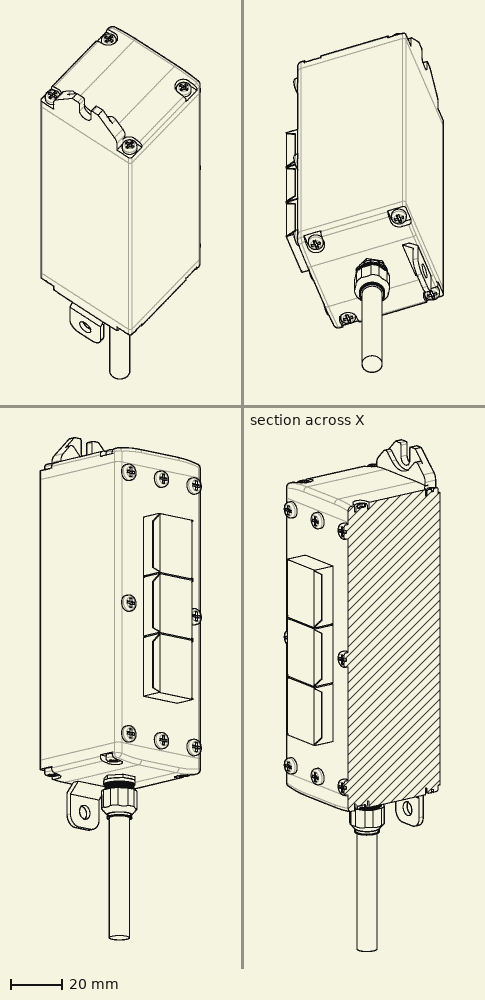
import cadquery as cq
import math

WIDTH = 45.0
DEPTH = 45.0
TUBE_LENGTH = 112.0
CAP_HEIGHT = 7.0
FRONT_CORNER_RADIUS = 1.0
BACK_CORNER_RADIUS = 2.0
SEAM_Z = TUBE_LENGTH / 2
CAP_END_Z = SEAM_Z + CAP_HEIGHT

CROWN_FLAT_WIDTH = 20.0
CROWN_RADIUS = 54.0
CAP_EDGE_RADIUS = 1.7

RECESS_RADIUS = 3.4
RECESS_SEAT_HEIGHT = 3.6
SEAT_Z = SEAM_Z + RECESS_SEAT_HEIGHT
FRONT_SCREW_X = 19.1
FRONT_SCREW_Y = 3.75
BACK_SCREW_X = 18.6
BACK_SCREW_Y = 38.3
CAP_HEAD_RADIUS = 2.9
CAP_HEAD_HEIGHT = 2.4
HEAD_EDGE_RADIUS = 1.0
CROSS_LENGTH = 3.6
CROSS_WIDTH = 0.9
CROSS_DEPTH = 1.2

BACK_FACE_SCREW_X = 17.4
BACK_FACE_SCREW_Z = 52.2
BACK_FACE_HEAD_RADIUS = 3.2
BACK_FACE_HEAD_HEIGHT = 2.0

LUG_RISE = 12.0
LUG_THICKNESS = 5.2
LUG_HALF_WIDTH = FRONT_SCREW_X - RECESS_RADIUS
LUG_TOP_HALF_WIDTH = 6.4
LUG_SHOULDER_DROP = LUG_HALF_WIDTH - LUG_TOP_HALF_WIDTH
LUG_SHOULDER_RADIUS = 4.0
LUG_SLOT_WIDTH = 5.6
LUG_SLOT_DEPTH = 8.2
LUG_SLOT_LIP_RADIUS = 0.8
LUG_TOP_Z = CAP_END_Z + LUG_RISE

POCKET_FLOOR_Y = 3.0
POCKET_CENTRE_DROP = 1.8
POCKET_RADIUS = 8.2
POCKET_LIP_RADIUS = 1.7

BRACKET_WIDTH = 15.3
BRACKET_THICKNESS = 2.0
BRACKET_DROP = 16.8
BRACKET_BEND_DROP = 3.6
BRACKET_BEND_ANGLE = 45.0
BRACKET_CORNER_RADIUS = 4.5
BRACKET_HOLE_DIAMETER = 5.5
BRACKET_HOLE_HEIGHT = 6.3

OVERALL_HEIGHT = 201.9
CABLE_Y = 21.7
CABLE_DIAMETER = 7.9
HEX_SIDES = 6
HEX_HALF_ANGLE = 180 / HEX_SIDES
GLAND_HEX_ACROSS_FLATS = 11.0
GLAND_HEX_HEIGHT = 1.3
GLAND_COLLAR_RADIUS = 6.1
GLAND_COLLAR_HEIGHT = 1.4
GLAND_NECK_RADIUS = 5.6
GLAND_NECK_HEIGHT = 2.7
NECK_GROOVE_COUNT = 3
NECK_GROOVE_WIDTH = 0.4
NECK_GROOVE_DEPTH = 0.4
NUT_ACROSS_FLATS = 13.2
NUT_RADIUS = 6.9
NUT_HEIGHT = 9.3
NUT_STRAIGHT_HEIGHT = 7.0
NUT_END_RADIUS = 4.9
SEAL_RADIUS = 4.5
SEAL_HEIGHT = 1.1
SEAL_LIP_RADIUS = 4.9
SEAL_LIP_HEIGHT = 0.3

BLOCK_COUNT = 3
BLOCK_PITCH = 24.0
BLOCK_GAP = 0.5
BLOCK_WIDTH = 18.0
BLOCK_HEIGHT = 9.0
BLOCK_LENGTH = BLOCK_PITCH - BLOCK_GAP
SIDE_RECESS_DEPTH = 0.4
SIDE_RECESS_HEIGHT = 3.7
SIDE_RECESS_END_WALL = 0.3
SIDE_RECESS_TAPER = 2.2


def box(x_range, y_range, z_range):
    """Axis-aligned box between pairs of limits."""
    size = [high - low for low, high in (x_range, y_range, z_range)]
    corner = cq.Vector(x_range[0], y_range[0], z_range[0])
    return cq.Workplane(cq.Solid.makeBox(*size, corner))


def cylinder(radius, x, y, z, height):
    """Upright cylinder standing on height z."""
    return cq.Workplane("XY", origin=(x, y, z)).circle(radius).extrude(height)


def housing_prism(z, height):
    """Straight length of the housing section."""
    prism = box((-WIDTH / 2, WIDTH / 2), (0, DEPTH), (z, z + height))
    prism = prism.edges("|Z and <Y").fillet(FRONT_CORNER_RADIUS)
    return prism.edges("|Z and >Y").fillet(BACK_CORNER_RADIUS)


def crown_drop(x):
    """Distance of the curved shoulder below the flat strip at a given X."""
    run = abs(x) - CROWN_FLAT_WIDTH / 2
    return CROWN_RADIUS - math.sqrt(CROWN_RADIUS**2 - run**2)


def screw_head(radius, height):
    """Domed head standing on Z = 0 with a cross recess in its top."""
    head = cylinder(radius, 0, 0, 0, height).faces(">Z").edges().fillet(HEAD_EDGE_RADIUS)
    cross = cq.Workplane("XY", origin=(0, 0, height - CROSS_DEPTH)).rect(CROSS_LENGTH, CROSS_WIDTH)
    bar = cross.extrude(CROSS_DEPTH)
    return head.cut(bar).cut(bar.rotate((0, 0, 0), (0, 0, 1), 90))


def corner_recess(side, x, y, open_front):
    """Round-ended screw recess that runs out through the side of a cap, and the front if asked."""
    depth = CAP_END_Z - SEAT_Z
    recess = cylinder(RECESS_RADIUS, x, y, SEAT_Z, depth)
    recess = recess.union(box((x, WIDTH / 2), (y - RECESS_RADIUS, y + RECESS_RADIUS), (SEAT_Z, CAP_END_Z)))
    if open_front:
        recess = recess.union(box((x - RECESS_RADIUS, WIDTH / 2), (0, y), (SEAT_Z, CAP_END_Z)))
    return recess if side > 0 else recess.mirror("YZ")


def upper_cap():
    """Crowned cap with rounded side and back edges and four recessed screws."""
    half_flat = CROWN_FLAT_WIDTH / 2
    half_width = WIDTH / 2
    mid_x = (half_flat + half_width) / 2
    side_z = CAP_END_Z - crown_drop(half_width)
    mid_z = CAP_END_Z - crown_drop(mid_x)
    crown = (
        cq.Workplane("XZ")
        .moveTo(-half_width, SEAM_Z)
        .lineTo(-half_width, side_z)
        .threePointArc((-mid_x, mid_z), (-half_flat, CAP_END_Z))
        .lineTo(half_flat, CAP_END_Z)
        .threePointArc((mid_x, mid_z), (half_width, side_z))
        .lineTo(half_width, SEAM_Z)
        .close()
        .extrude(-DEPTH)
    )
    cap = crown.edges("|Z and >Y").fillet(BACK_CORNER_RADIUS)
    top_edges = [
        e for e in cap.edges().vals()
        if e.Center().z > side_z - FRONT_CORNER_RADIUS
        and e.Center().y > FRONT_CORNER_RADIUS
        and (abs(e.Center().x) > mid_x or e.Center().y > DEPTH - BACK_CORNER_RADIUS)
    ]
    cap = cap.newObject(top_edges).fillet(CAP_EDGE_RADIUS)
    cap = cap.edges("|Z and <Y").fillet(FRONT_CORNER_RADIUS)
    head = screw_head(CAP_HEAD_RADIUS, CAP_HEAD_HEIGHT)
    for side in (-1, 1):
        for x, y, open_front in (
            (FRONT_SCREW_X, FRONT_SCREW_Y, True),
            (BACK_SCREW_X, BACK_SCREW_Y, False),
        ):
            cap = cap.cut(corner_recess(side, x, y, open_front))
            cap = cap.union(head.translate((side * x, y, SEAT_Z)))
    return cap


def lug():
    """Upper lug with sloped shoulders, an open slot and a clearance pocket behind it."""
    shoulder_z = LUG_TOP_Z - LUG_SHOULDER_DROP
    plate = (
        cq.Workplane("XZ")
        .moveTo(-LUG_HALF_WIDTH, SEAT_Z)
        .lineTo(-LUG_HALF_WIDTH, shoulder_z)
        .lineTo(-LUG_TOP_HALF_WIDTH, LUG_TOP_Z)
        .lineTo(LUG_TOP_HALF_WIDTH, LUG_TOP_Z)
        .lineTo(LUG_HALF_WIDTH, shoulder_z)
        .lineTo(LUG_HALF_WIDTH, SEAT_Z)
        .close()
        .extrude(-LUG_THICKNESS)
    )
    shoulders = [
        e for e in plate.edges("|Y").vals()
        if (SEAT_Z + shoulder_z) / 2 < e.Center().z < (shoulder_z + LUG_TOP_Z) / 2
    ]
    plate = plate.newObject(shoulders).fillet(LUG_SHOULDER_RADIUS)

    slot_radius = LUG_SLOT_WIDTH / 2
    slot_centre_z = LUG_TOP_Z - LUG_SLOT_DEPTH + slot_radius
    slot = box((-slot_radius, slot_radius), (0, LUG_THICKNESS), (slot_centre_z, LUG_TOP_Z))
    slot_end = cq.Workplane("XZ", origin=(0, 0, slot_centre_z)).circle(slot_radius).extrude(-LUG_THICKNESS)
    plate = plate.cut(slot).cut(slot_end)
    lips = [
        e for e in plate.edges("|Y").vals()
        if e.Center().z > slot_centre_z + slot_radius
        and abs(e.Center().x) < (slot_radius + LUG_TOP_HALF_WIDTH) / 2
    ]
    plate = plate.newObject(lips).fillet(LUG_SLOT_LIP_RADIUS)

    tangent = POCKET_RADIUS / math.sqrt(2)
    centre_z = LUG_TOP_Z - POCKET_CENTRE_DROP
    flare = LUG_HALF_WIDTH - tangent
    pocket = (
        cq.Workplane("XZ", origin=(0, POCKET_FLOOR_Y, 0))
        .moveTo(-tangent, centre_z - tangent)
        .threePointArc((0, centre_z - POCKET_RADIUS), (tangent, centre_z - tangent))
        .lineTo(tangent + flare, centre_z - tangent + flare)
        .lineTo(-tangent - flare, centre_z - tangent + flare)
        .close()
        .extrude(POCKET_FLOOR_Y - LUG_THICKNESS)
    )
    plate = plate.cut(pocket)
    rims = [
        e for e in plate.edges("|Y").vals()
        if abs(e.Center().x) > tangent + POCKET_LIP_RADIUS
        and e.Center().y > POCKET_FLOOR_Y
        and e.Center().z > shoulder_z + LUG_SHOULDER_RADIUS / 2
    ]
    return plate.newObject(rims).fillet(POCKET_LIP_RADIUS)


def housing_with_lug():
    """Tube between the two caps, with the lug on the upper one; faces stay split at the cap seams."""
    cap = upper_cap()
    lower_cap = cap.mirror("XY")
    tube = housing_prism(-SEAM_Z, TUBE_LENGTH)
    return tube.union(cap.union(lug()), clean=False).union(lower_cap, clean=False)


def bracket():
    """Strap that leaves the lower cap at 45 degrees and bends straight down, flush with the front face."""
    root_z = -CAP_END_Z
    tip_z = root_z - BRACKET_DROP
    bend_z = root_z - BRACKET_BEND_DROP
    root_y = BRACKET_BEND_DROP * math.tan(math.radians(BRACKET_BEND_ANGLE))
    bend_offset = BRACKET_THICKNESS * math.tan(math.radians(BRACKET_BEND_ANGLE / 2))
    slant_thickness = BRACKET_THICKNESS / math.cos(math.radians(BRACKET_BEND_ANGLE))
    strap = (
        cq.Workplane("YZ", origin=(-BRACKET_WIDTH / 2, 0, 0))
        .moveTo(0, tip_z)
        .lineTo(0, bend_z)
        .lineTo(root_y, root_z)
        .lineTo(root_y + slant_thickness, root_z)
        .lineTo(BRACKET_THICKNESS, bend_z - bend_offset)
        .lineTo(BRACKET_THICKNESS, tip_z)
        .close()
        .extrude(BRACKET_WIDTH)
    )
    strap = strap.edges("|Y and <Z").fillet(BRACKET_CORNER_RADIUS)
    hole = cq.Workplane("XZ", origin=(0, 0, tip_z + BRACKET_HOLE_HEIGHT)).circle(BRACKET_HOLE_DIAMETER / 2)
    return strap.cut(hole.extrude(-BRACKET_THICKNESS))


def hex_prism(across_flats, z, height):
    """Hexagonal prism on the cable axis with corners pointing along X."""
    across_corners = across_flats / math.cos(math.radians(HEX_HALF_ANGLE))
    return cq.Workplane("XY", origin=(0, CABLE_Y, z)).polygon(HEX_SIDES, across_corners).extrude(height)


def gland_and_cable():
    """Gland parts stacked downwards (hex base, collar, grooved neck, nut, seal), then the cable."""
    hex_z = -CAP_END_Z - GLAND_HEX_HEIGHT
    collar_z = hex_z - GLAND_COLLAR_HEIGHT
    neck_z = collar_z - GLAND_NECK_HEIGHT
    nut_z = neck_z - NUT_HEIGHT
    seal_z = nut_z - SEAL_HEIGHT
    lip_z = seal_z - SEAL_LIP_HEIGHT
    cable_z = LUG_TOP_Z - OVERALL_HEIGHT

    base = hex_prism(GLAND_HEX_ACROSS_FLATS, hex_z, GLAND_HEX_HEIGHT)
    collar = cylinder(GLAND_COLLAR_RADIUS, 0, CABLE_Y, collar_z, GLAND_COLLAR_HEIGHT)
    neck = cylinder(GLAND_NECK_RADIUS, 0, CABLE_Y, neck_z, GLAND_NECK_HEIGHT)
    groove_pitch = GLAND_NECK_HEIGHT / NECK_GROOVE_COUNT
    for index in range(NECK_GROOVE_COUNT):
        groove_z = neck_z + (index + 0.5) * groove_pitch - NECK_GROOVE_WIDTH / 2
        groove = cylinder(GLAND_NECK_RADIUS, 0, CABLE_Y, groove_z, NECK_GROOVE_WIDTH)
        core = cylinder(GLAND_NECK_RADIUS - NECK_GROOVE_DEPTH, 0, CABLE_Y, groove_z, NECK_GROOVE_WIDTH)
        neck = neck.cut(groove.cut(core))

    hexagon = hex_prism(NUT_ACROSS_FLATS, nut_z, NUT_HEIGHT).rotate(
        (0, CABLE_Y, 0), (0, CABLE_Y, 1), HEX_HALF_ANGLE)
    taper_height = NUT_HEIGHT - NUT_STRAIGHT_HEIGHT
    turned = (
        cq.Workplane("XZ", origin=(0, CABLE_Y, nut_z))
        .lineTo(NUT_END_RADIUS, 0)
        .lineTo(NUT_RADIUS, taper_height)
        .lineTo(NUT_RADIUS, NUT_HEIGHT)
        .lineTo(0, NUT_HEIGHT)
        .close()
        .revolve(360, (0, 0, 0), (0, 1, 0))
    )
    nut = hexagon.intersect(turned)
    seal = cylinder(SEAL_RADIUS, 0, CABLE_Y, seal_z, SEAL_HEIGHT)
    lip = cylinder(SEAL_LIP_RADIUS, 0, CABLE_Y, lip_z, SEAL_LIP_HEIGHT)
    cable = cylinder(CABLE_DIAMETER / 2, 0, CABLE_Y, cable_z, lip_z - cable_z)
    return base.union(collar).union(neck).union(nut).union(seal).union(lip).union(cable)


def back_block(z):
    """One block on the back face, centred at height z, recessed on both sides."""
    half_width = BLOCK_WIDTH / 2
    half_length = BLOCK_LENGTH / 2
    top_y = DEPTH + BLOCK_HEIGHT
    block = box((-half_width, half_width), (DEPTH, top_y), (z - half_length, z + half_length))
    outer_half = half_length - SIDE_RECESS_END_WALL
    inner_half = outer_half - SIDE_RECESS_TAPER
    inner_y = top_y - SIDE_RECESS_HEIGHT
    recess = (
        cq.Workplane("YZ", origin=(half_width - SIDE_RECESS_DEPTH, 0, z))
        .moveTo(top_y, -outer_half)
        .lineTo(top_y, outer_half)
        .lineTo(inner_y, inner_half)
        .lineTo(inner_y, -inner_half)
        .close()
        .extrude(SIDE_RECESS_DEPTH)
    )
    return block.cut(recess).cut(recess.mirror("YZ"))


def back_face_screws():
    """Screw heads around the border of the back face."""
    head = screw_head(BACK_FACE_HEAD_RADIUS, BACK_FACE_HEAD_HEIGHT).rotate((0, 0, 0), (1, 0, 0), -90)
    screws = []
    for x in (-BACK_FACE_SCREW_X, 0, BACK_FACE_SCREW_X):
        for z in (-BACK_FACE_SCREW_Z, 0, BACK_FACE_SCREW_Z):
            if x or z:
                screws.append(head.translate((x, DEPTH, z)))
    return screws


attachments = [bracket(), gland_and_cable(), *back_face_screws()]
for index in range(BLOCK_COUNT):
    attachments.append(back_block((index - (BLOCK_COUNT - 1) / 2) * BLOCK_PITCH))

result = housing_with_lug()
for attachment in attachments:
    result = result.union(attachment, clean=False)